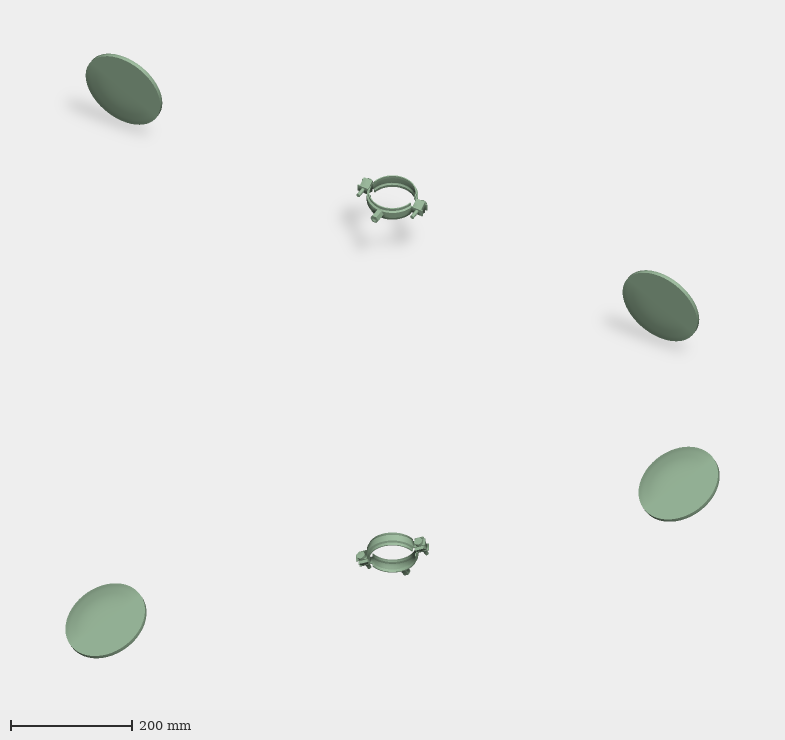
import cadquery as cq

overall_length = 1165.0
overall_depth = 103.0
disc_diameter = 142.0
disc_thickness = 7.0
disc_offset = (overall_length - disc_diameter) / 2

sheet_thickness = 1.7
rim_inner_diameter = 76.0
rim_inner_radius = rim_inner_diameter / 2
rim_outer_radius = rim_inner_radius + sheet_thickness
band_outer_diameter = 85.0
band_outer_radius = band_outer_diameter / 2
band_inner_radius = band_outer_radius - sheet_thickness
band_middle_radius = band_outer_radius - sheet_thickness / 2
band_width = 12.0
band_base_width = 15.0
rim_width = 4.9
clamp_width = band_base_width + 2 * rim_width
split_gap = 14.0

ear_tip = 62.0
ear_width = 13.0
ear_root = band_middle_radius
ear_face = split_gap / 2

screw_offset = 51.0
screw_diameter = 6.6
screw_hole_diameter = 7.3
screw_end = -25.0
head_diameter = 14.0
head_height = 5.2
spacer_outer_end = 58.0
spacer_inner_end = 42.0
spacer_narrow_width = clamp_width - split_gap

boss_corner_diameter = 15.0
boss_end = band_outer_radius - overall_depth
boss_hole_diameter = 8.4
boss_hole_end = -band_outer_radius


def cylinder_along_y(diameter, y_start, y_end, x=0.0):
    """Solid cylinder whose axis runs parallel to Y at height Z = 0."""
    plane = cq.Workplane("XZ", origin=(x, y_start, 0))
    return plane.circle(diameter / 2).extrude(y_start - y_end)


def make_end_disc(side):
    return cylinder_along_y(disc_diameter, disc_thickness / 2, -disc_thickness / 2, side * disc_offset)


def make_ring():
    """Full ring whose wall steps outwards at the centre band over two sloping flanks."""
    half_width = clamp_width / 2
    half_band = band_width / 2
    half_base = band_base_width / 2
    profile = [
        (rim_inner_radius, -half_width),
        (rim_outer_radius, -half_width),
        (rim_outer_radius, -half_base),
        (band_outer_radius, -half_band),
        (band_outer_radius, half_band),
        (rim_outer_radius, half_base),
        (rim_outer_radius, half_width),
        (rim_inner_radius, half_width),
        (rim_inner_radius, half_base),
        (band_inner_radius, half_band),
        (band_inner_radius, -half_band),
        (rim_inner_radius, -half_base),
    ]
    return cq.Workplane("XZ").polyline(profile).close().revolve(360, (0, 0), (0, 1))


def make_ear(x_side, y_side):
    """Flat rectangular ear whose inner face bounds the split gap."""
    center = (
        x_side * (ear_root + ear_tip) / 2,
        y_side * (ear_face + sheet_thickness / 2),
        0,
    )
    return cq.Workplane("XY").box(ear_tip - ear_root, sheet_thickness, ear_width).translate(center)


def make_plain_half(y_side):
    """One half of the ring with its two ears."""
    reach = 2 * ear_tip
    keep = cq.Workplane("XY").box(reach, reach, clamp_width)
    keep = keep.translate((0, y_side * (ear_face + reach / 2), 0))
    half = make_ring().intersect(keep)
    for x_side in (-1, 1):
        half = half.union(make_ear(x_side, y_side))
    return half


def make_spacer(x_side):
    """Spacer filling the gap between two ears, tapering towards the lower ear."""
    outline = [
        (ear_face, -clamp_width / 2),
        (ear_face, clamp_width / 2),
        (-ear_face, spacer_narrow_width / 2),
        (-ear_face, -spacer_narrow_width / 2),
    ]
    plane = cq.Workplane("YZ", origin=(x_side * spacer_inner_end, 0, 0))
    return plane.polyline(outline).close().extrude(x_side * (spacer_outer_end - spacer_inner_end))


def make_upper_half():
    """Upper clamp half with its screws and spacers."""
    half = make_plain_half(1)
    ear_top = ear_face + sheet_thickness
    for x_side in (-1, 1):
        x = x_side * screw_offset
        half = half.union(make_spacer(x_side))
        half = half.union(cylinder_along_y(head_diameter, ear_top + head_height, ear_top, x))
        half = half.union(cylinder_along_y(screw_diameter, ear_top, screw_end, x))
    return half


def make_lower_half():
    """Lower clamp half with screw holes in its ears and a hexagonal boss."""
    half = make_plain_half(-1)
    for x_side in (-1, 1):
        x = x_side * screw_offset
        half = half.cut(cylinder_along_y(screw_hole_diameter, 0, screw_end, x))
    boss_start = -band_middle_radius
    boss = cq.Workplane("XZ", origin=(0, boss_start, 0)).polygon(6, boss_corner_diameter)
    half = half.union(boss.extrude(boss_start - boss_end))
    return half.cut(cylinder_along_y(boss_hole_diameter, boss_hole_end, boss_end))


end_discs = [make_end_disc(side) for side in (-1, 1)]
upper_half = make_upper_half()
lower_half = make_lower_half()

result = cq.Compound.makeCompound(
    [*[disc.val() for disc in end_discs], upper_half.val(), lower_half.val()]
)